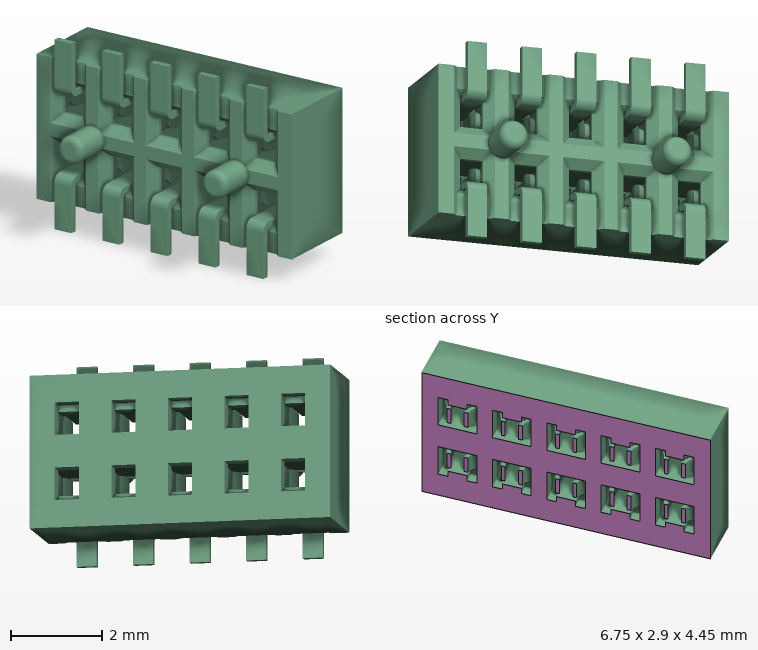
import cadquery as cq
import math


body_length = 6.75
body_depth = 2.005
body_height = 3.4
columns = 5
pitch = 1.27

mouth_width = 0.96
rib_width = 0.31
flare = 0.21
hole_height = 0.72
shelf_depth = 0.095
cavity_start = 0.3
cavity_width = 0.89
cavity_rib_step = 0.05

sheet = 0.15
tail_width = 0.45
tail_offset = 0.195
tail_bend = 0.2
contact_height = 4.45
contact_depth = 1.62
base_start = 1.08

finger_sheet = 0.1
finger_height = 0.42
finger_corner = 0.15
finger_offset = 0.28
lead_gap = 0.4
lead_depth = 0.47
fold_gap = 0.35
fold_depth = 0.59
bow_gap = 0.29
bow_depth = 0.81
arm_gap = 0.58

peg_diameter = 0.65
peg_length = 0.9
peg_rounding = 0.15
peg_spacing = 3 * pitch

hole_width = mouth_width - 2 * flare
hole_inner_z = rib_width / 2 + flare
hole_outer_z = hole_inner_z + hole_height
column_places = [(i - (columns - 1) / 2) * pitch for i in range(columns)]


def box(x0, x1, y0, y1, z0, z1):
    return cq.Workplane("XY").box(x1 - x0, y1 - y0, z1 - z0, centered=False).translate((x0, y0, z0))


def flared_pocket():
    """Upper-row pocket at X = 0: a 45 degree funnel, its shelf notch, the hole and the cavity."""
    mouth_outer_z = hole_outer_z + flare
    funnel = (
        cq.Workplane("XZ")
        .center(0, (rib_width / 2 + mouth_outer_z) / 2)
        .rect(mouth_width, mouth_outer_z - rib_width / 2)
        .extrude(-flare, taper=45)
    )
    shelf_half = mouth_width / 2 - shelf_depth
    notch = (
        cq.Workplane("XY")
        .workplane(offset=hole_outer_z)
        .polyline([
            (-mouth_width / 2, 0),
            (mouth_width / 2, 0),
            (shelf_half, shelf_depth),
            (-shelf_half, shelf_depth),
        ])
        .close()
        .extrude(body_height / 2 - hole_outer_z)
    )
    hole = box(-hole_width / 2, hole_width / 2, 0, body_depth, hole_inner_z, hole_outer_z)
    cavity = box(
        -cavity_width / 2, cavity_width / 2,
        cavity_start, contact_depth,
        hole_inner_z - cavity_rib_step, hole_outer_z,
    )
    return funnel.union(notch).union(hole).union(cavity)


def tail():
    """Strip on the outer wall of the hole, bent outwards over the mounting face."""
    inner_bend = tail_bend - sheet
    strip_z = hole_outer_z - sheet
    end_z = contact_height / 2
    bend_y = tail_bend - tail_offset
    bend_z = strip_z + tail_bend
    diagonal = math.sqrt(0.5)
    return (
        cq.Workplane("YZ")
        .moveTo(contact_depth, strip_z)
        .lineTo(bend_y, strip_z)
        .threePointArc(
            (bend_y - tail_bend * diagonal, bend_z - tail_bend * diagonal),
            (-tail_offset, bend_z),
        )
        .lineTo(-tail_offset, end_z)
        .lineTo(sheet - tail_offset, end_z)
        .lineTo(sheet - tail_offset, bend_z)
        .threePointArc(
            (bend_y - inner_bend * diagonal, bend_z - inner_bend * diagonal),
            (bend_y, hole_outer_z),
        )
        .lineTo(contact_depth, hole_outer_z)
        .close()
        .extrude(tail_width / 2, both=True)
    )


def finger():
    """Spring finger on the +X side: a bow from the arm, then a straight lead with a rounded end."""
    lead_x = lead_gap / 2
    fold_x = fold_gap / 2
    bow_x = bow_gap / 2
    arm_x = arm_gap / 2
    finger_z = hole_inner_z + finger_offset
    return (
        cq.Workplane("XY")
        .workplane(offset=finger_z - finger_height / 2)
        .moveTo(lead_x, lead_depth)
        .lineTo(fold_x, fold_depth)
        .threePointArc((bow_x, bow_depth), (arm_x, base_start))
        .lineTo(arm_x + finger_sheet, base_start)
        .threePointArc((bow_x + finger_sheet, bow_depth), (fold_x + finger_sheet, fold_depth))
        .lineTo(lead_x + finger_sheet, lead_depth)
        .close()
        .extrude(finger_height)
        .edges("|X and <Y")
        .fillet(finger_corner)
    )


def contact():
    """Upper-row contact at X = 0: tail, base plate, and an arm with a finger on either side."""
    arm_inner_x = arm_gap / 2
    arm_outer_x = arm_inner_x + finger_sheet
    base = box(
        -arm_outer_x, arm_outer_x,
        base_start, contact_depth,
        hole_outer_z - sheet, hole_outer_z,
    )
    arm = box(
        arm_inner_x, arm_outer_x,
        base_start, contact_depth,
        hole_inner_z + finger_offset - finger_height / 2, hole_outer_z,
    )
    right_side = arm.union(finger())
    return tail().union(base).union(right_side).union(right_side.mirror("YZ"))


def peg(x):
    return (
        cq.Workplane("XZ")
        .center(x, 0)
        .circle(peg_diameter / 2)
        .extrude(peg_length)
        .faces("<Y")
        .edges()
        .fillet(peg_rounding)
    )


result = box(
    -body_length / 2, body_length / 2,
    0, body_depth,
    -body_height / 2, body_height / 2,
)

upper_pocket = flared_pocket()
upper_contact = contact()
for x in column_places:
    for pocket in (upper_pocket, upper_pocket.mirror("XY")):
        result = result.cut(pocket.translate((x, 0, 0)))
for x in (-peg_spacing / 2, peg_spacing / 2):
    result = result.union(peg(x))
for x in column_places:
    for terminal in (upper_contact, upper_contact.mirror("XY")):
        result = result.union(terminal.translate((x, 0, 0)))